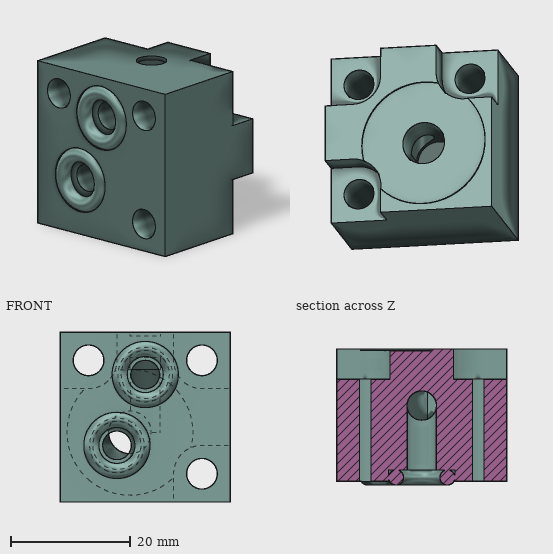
import cadquery as cq
import math

width = 28.57
depth = 22.23
front_y = -depth / 2
back_y = depth / 2
top_z = width / 2

screw_offset = width / 3
screw_diameter = 5.1
notch_depth = 5.09
notch_radius = width / 2 - screw_offset
screw_corners = [(-1, 1), (1, 1), (1, -1)]

upper_port = (0.0, width / 4)
lower_port = (-width / 6, -width / 6)
port_radius = 2.4
seat_radius = 5.57
ring_tube_radius = 1.29
ring_protrusion = 0.65
ring_press = 0.03
seat_depth = 2 * ring_tube_radius - ring_protrusion - ring_press
drill_point_angle = 118.0

cavity_center = (-2.57, -2.57)
cavity_radius = 3.57
cavity_bottom_y = -1.7
spotface_radius = 10.57
spotface_depth = 0.29

passage_y = back_y - width / 3
passage_radius = 2.45
plug_diameter = 5.1
plug_recess = 0.65
plug_bottom_z = 10.0
plug_shoulder_z = 7.97

lower_port_end_y = 0.0


def rod_y(center, radius, start_y, end_y):
    """Cylinder along +Y from start_y to end_y, centred at (x, z)."""
    x, z = center
    start = cq.Vector(x, start_y, z)
    return cq.Workplane(cq.Solid.makeCylinder(radius, end_y - start_y, start, cq.Vector(0, 1, 0)))


def rod_z(radius, bottom_z, height):
    """Vertical cylinder on the axis of the passage."""
    start = cq.Vector(0, passage_y, bottom_z)
    return cq.Workplane(cq.Solid.makeCylinder(radius, height, start))


def corner_notch(side_x, side_z):
    """Square notch in a back corner, its inner corner rounded about the screw axis."""
    edge = width / 2
    inner = screw_offset - notch_radius
    arc_middle = screw_offset - notch_radius * math.sqrt(0.5)

    def place(x, z):
        return (side_x * x, side_z * z)

    return (
        cq.Workplane("XZ", origin=(0, back_y, 0))
        .moveTo(*place(edge, edge))
        .lineTo(*place(edge, inner))
        .lineTo(*place(screw_offset, inner))
        .threePointArc(place(arc_middle, arc_middle), place(inner, screw_offset))
        .lineTo(*place(inner, edge))
        .close()
        .extrude(notch_depth)
    )


def drill_point(center, start_y):
    """Conical end of a drilled port, pointing towards +Y."""
    x, z = center
    height = port_radius / math.tan(math.radians(drill_point_angle / 2))
    return cq.Workplane(
        cq.Solid.makeCone(port_radius, 0, height, cq.Vector(x, start_y, z), cq.Vector(0, 1, 0))
    )


def o_ring(center):
    """Torus pressed slightly into the seat wall and floor, standing proud of the front face."""
    x, z = center
    tube_center_y = front_y - ring_protrusion + ring_tube_radius
    mean_radius = seat_radius - ring_tube_radius + ring_press
    return cq.Workplane(
        cq.Solid.makeTorus(
            mean_radius, ring_tube_radius, cq.Vector(x, tube_center_y, z), cq.Vector(0, 1, 0)
        )
    )


result = cq.Workplane("XY").box(width, depth, width)

for side_x, side_z in screw_corners:
    screw_center = (side_x * screw_offset, side_z * screw_offset)
    result = result.cut(corner_notch(side_x, side_z))
    result = result.cut(rod_y(screw_center, screw_diameter / 2, front_y, back_y))

result = result.cut(rod_y(cavity_center, cavity_radius, cavity_bottom_y, back_y))
result = result.cut(rod_y(cavity_center, spotface_radius, back_y - spotface_depth, back_y))

result = result.cut(rod_z(passage_radius, cavity_center[1], plug_shoulder_z - cavity_center[1]))
result = result.cut(rod_z(plug_diameter / 2, plug_shoulder_z, plug_bottom_z - plug_shoulder_z))
result = result.cut(rod_z(plug_diameter / 2, top_z - plug_recess, plug_recess))

result = result.cut(rod_y(upper_port, port_radius, front_y, passage_y))
result = result.cut(rod_y(lower_port, port_radius, front_y, lower_port_end_y))
result = result.cut(drill_point(lower_port, lower_port_end_y))

for port in (upper_port, lower_port):
    result = result.cut(rod_y(port, seat_radius, front_y, front_y + seat_depth))
    result = result.union(o_ring(port))